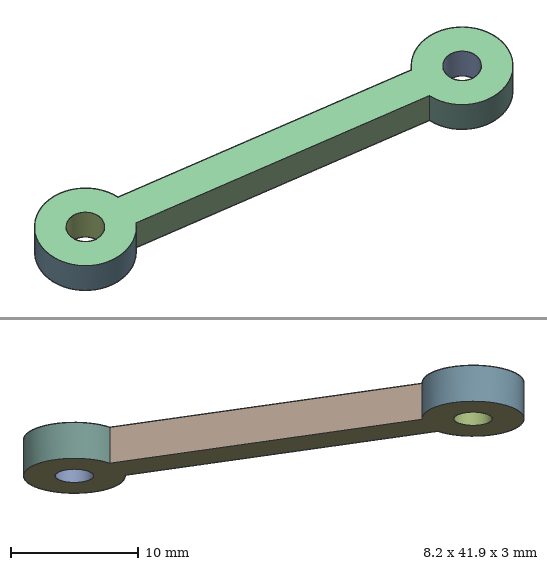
import cadquery as cq

length = 41.9
thickness = 3.0
eye_diameter = 8.0
hole_diameter = 3.0
bar_width = 3.0
eye_offset = 0.2

eye_x = eye_offset / 2
eye_y = (length - eye_diameter) / 2
eye_centres = [(eye_x, eye_y), (-eye_x, -eye_y)]

bar = cq.Workplane("XY").rect(bar_width, 2 * eye_y).extrude(thickness)

eyes = cq.Workplane("XY").pushPoints(eye_centres).circle(eye_diameter / 2).extrude(thickness)

holes = cq.Workplane("XY").pushPoints(eye_centres).circle(hole_diameter / 2).extrude(thickness)

result = bar.union(eyes).cut(holes)